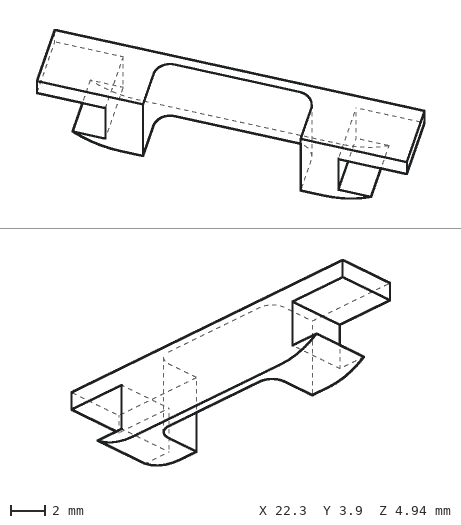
import cadquery as cq

LENGTH = 22.3
DEPTH = 3.9
HEIGHT = 4.94
PLATE_THICKNESS = 1.15
NECK_LENGTH = 14.04
FOOT_LENGTH = 18.0
FOOT_HEIGHT = 0.88
FOOT_RADIUS = 5.2
RECESS_LENGTH = 9.5
WEB_THICKNESS = 0.6
RECESS_FILLET = 1.0

PLATE_BOTTOM = HEIGHT - PLATE_THICKNESS
ARC_RUN = (FOOT_RADIUS**2 - (FOOT_RADIUS - FOOT_HEIGHT) ** 2) ** 0.5
FLAT_HALF = FOOT_LENGTH / 2 - ARC_RUN


def make_body():
    """Plate, neck and round-edged foot, extruded along Y."""
    right_half = (
        cq.Workplane("XZ", origin=(0, DEPTH / 2, 0))
        .lineTo(FLAT_HALF, 0)
        .tangentArcPoint((FOOT_LENGTH / 2, FOOT_HEIGHT), relative=False)
        .lineTo(NECK_LENGTH / 2, FOOT_HEIGHT)
        .lineTo(NECK_LENGTH / 2, PLATE_BOTTOM)
        .lineTo(LENGTH / 2, PLATE_BOTTOM)
        .lineTo(LENGTH / 2, HEIGHT)
        .lineTo(0, HEIGHT)
        .close()
        .extrude(DEPTH)
    )
    return right_half.union(right_half.mirror("YZ")).clean()


def make_recess():
    """Full-height recess open toward -Y, with rounded inner corners."""
    recess_depth = DEPTH - WEB_THICKNESS
    return (
        cq.Workplane("XY")
        .box(RECESS_LENGTH, recess_depth, HEIGHT, centered=(True, False, False))
        .edges("|Z and >Y")
        .fillet(RECESS_FILLET)
        .translate((0, -DEPTH / 2, 0))
    )


result = make_body().cut(make_recess())